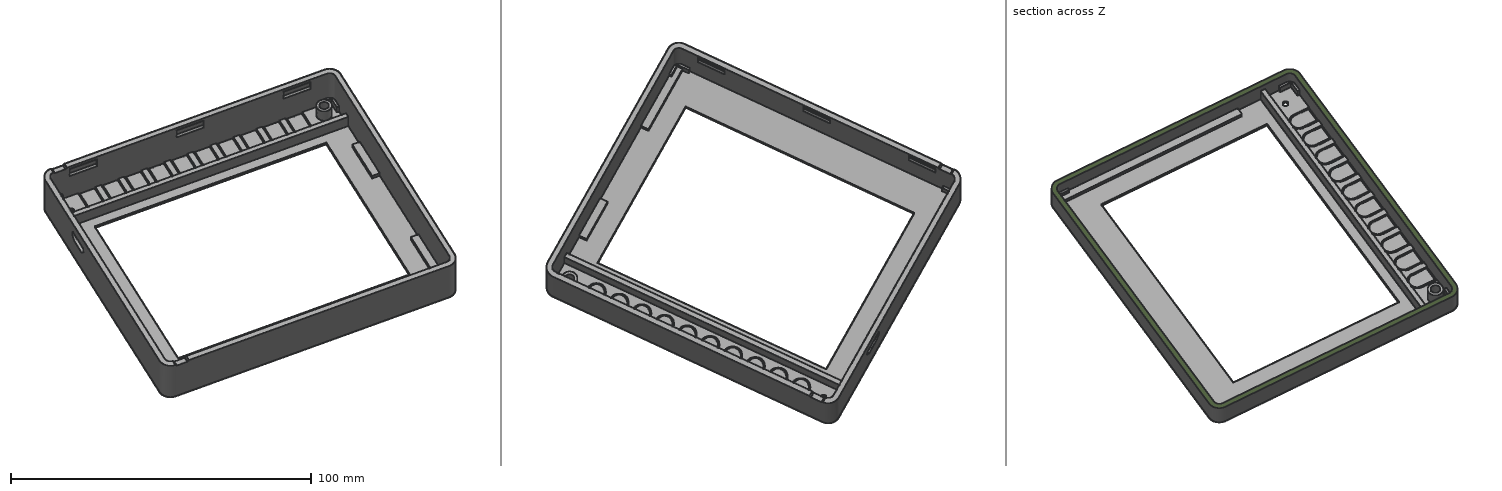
import cadquery as cq

length_x = 96.0
length_y = 109.0
height = 16.0
wall = 2.0
floor_thickness = 1.0
outer_radius = 4.0
inner_radius = outer_radius - wall
inner_x = length_x / 2 - wall
inner_y = length_y / 2 - wall

window_left = -30.5
window_right = 33.9
window_length = 85.6

rib_left = -35.6
rib_width = 1.7
rib_top = 5.7

ledge_left = -25.0
ledge_width = 2.8
ledge_top = floor_thickness + 1.3
short_ledge_length = 15.4
corner_ledge_left = 20.3

corner_rib_thickness = 0.9
corner_rib_leg = 5.1
corner_rib_top = 3.6

button_count = 10
button_pitch = 8.5
button_x = -40.1
slot_outer_radius = 3.2
slot_width = 0.4
hinge_thickness = floor_thickness / 2

boss_x = -41.9
boss_y = 47.4
boss_diameter = 5.2
boss_hole_diameter = 3.2
boss_top = 5.7

pin_hole_y = -46.8
pin_hole_diameter = 2.0

port_x = -19.0
port_top = 11.8
port_height = 3.4
port_side_height = 1.7
port_width = 8.6
port_bottom_width = 5.7
port_corner_radius = 0.5

snap_length = 10.0
snap_height = 3.5
snap_depth = 0.7
snap_z = 13.0
snap_pitch = 39.5

notch_y = -48.1
notch_length = 5.0
notch_depth = 0.5


def box(x_min, x_max, y_min, y_max, z_min, z_max):
    size = (x_max - x_min, y_max - y_min, z_max - z_min)
    return cq.Workplane("XY").box(*size, centered=False).translate((x_min, y_min, z_min))


def cylinder(x, y, diameter, z_min, z_max):
    return cq.Workplane("XY", origin=(x, y, z_min)).circle(diameter / 2).extrude(z_max - z_min)


def rounded_block(half_x, half_y, radius, z_min, z_max):
    block = box(-half_x, half_x, -half_y, half_y, z_min, z_max)
    return block.edges("|Z").fillet(radius)


def tray():
    shell = rounded_block(length_x / 2, length_y / 2, outer_radius, 0, height)
    return shell.cut(rounded_block(inner_x, inner_y, inner_radius, floor_thickness, height))


def ledges_and_rib():
    ledge_edge = inner_y - ledge_width
    short_ledge_right = ledge_left + short_ledge_length
    return [
        box(ledge_left, short_ledge_right, ledge_edge, inner_y, 0, ledge_top),
        box(corner_ledge_left, inner_x, ledge_edge, inner_y, 0, ledge_top),
        box(ledge_left, inner_x, -inner_y, -ledge_edge, 0, ledge_top),
        box(rib_left, rib_left + rib_width, -inner_y, inner_y, 0, rib_top),
    ]


def corner_rib(side_x, side_y):
    def leg(size_x, size_y):
        block = cq.Workplane("XY").box(size_x, size_y, corner_rib_top, centered=(True, True, False))
        return block.translate((side_x * (inner_x - size_x / 2), side_y * (inner_y - size_y / 2), 0))

    return leg(corner_rib_leg, corner_rib_thickness).union(leg(corner_rib_thickness, corner_rib_leg))


def button_tongue(radius):
    """Floor-thick D shape reaching from the -X wall to a round end."""
    straight = box(-inner_x, button_x, -radius, radius, 0, floor_thickness)
    return straight.union(cylinder(button_x, 0, 2 * radius, 0, floor_thickness))


def button_cut():
    """Through slot around one button, plus the groove that thins its hinge at the wall."""
    slot = button_tongue(slot_outer_radius).cut(button_tongue(slot_outer_radius - slot_width))
    groove = box(
        -inner_x, -inner_x + slot_width,
        -slot_outer_radius, slot_outer_radius,
        hinge_thickness, floor_thickness,
    )
    return slot.union(groove)


def port_opening():
    top = port_width / 2
    bottom = port_bottom_width / 2
    outline = [
        (-top, 0),
        (top, 0),
        (top, -port_side_height),
        (bottom, -port_height),
        (-bottom, -port_height),
        (-top, -port_side_height),
    ]
    opening = cq.Workplane("XZ", origin=(port_x, -inner_y, port_top)).polyline(outline).close().extrude(wall)
    return opening.edges("|Y").fillet(port_corner_radius)


def snap_recess(side):
    """Blind recess with flat ends, its top and bottom sloping inwards at 45 degrees."""
    mouth = snap_height / 2
    back = mouth - snap_depth
    depth = side * snap_depth
    outline = [(0, -mouth), (depth, -back), (depth, back), (0, mouth)]
    section = cq.Workplane("XZ", origin=(side * inner_x, 0, snap_z)).polyline(outline).close()
    return section.extrude(snap_length / 2, both=True)


def rim_notch():
    top = notch_length / 2
    bottom = top - notch_depth
    outline = [(-top, 0), (-bottom, -notch_depth), (bottom, -notch_depth), (top, 0)]
    section = cq.Workplane("YZ", origin=(0, notch_y, height)).polyline(outline).close()
    return section.extrude(length_x / 2, both=True)


case = tray()

for piece in ledges_and_rib():
    case = case.union(piece)
for side_x in (-1, 1):
    for side_y in (-1, 1):
        case = case.union(corner_rib(side_x, side_y))
case = case.union(cylinder(boss_x, boss_y, boss_diameter, 0, boss_top))

half_window = window_length / 2
case = case.cut(box(window_left, window_right, -half_window, half_window, 0, floor_thickness))
case = case.cut(cylinder(boss_x, boss_y, boss_hole_diameter, floor_thickness, boss_top))
case = case.cut(cylinder(button_x, pin_hole_y, pin_hole_diameter, 0, floor_thickness))
one_button_cut = button_cut()
for index in range(button_count):
    offset = index - (button_count - 1) / 2
    case = case.cut(one_button_cut.translate((0, offset * button_pitch, 0)))

case = case.cut(port_opening())
for side in (-1, 1):
    for position in (-1, 0, 1):
        case = case.cut(snap_recess(side).translate((0, position * snap_pitch, 0)))
case = case.cut(rim_notch())

result = case